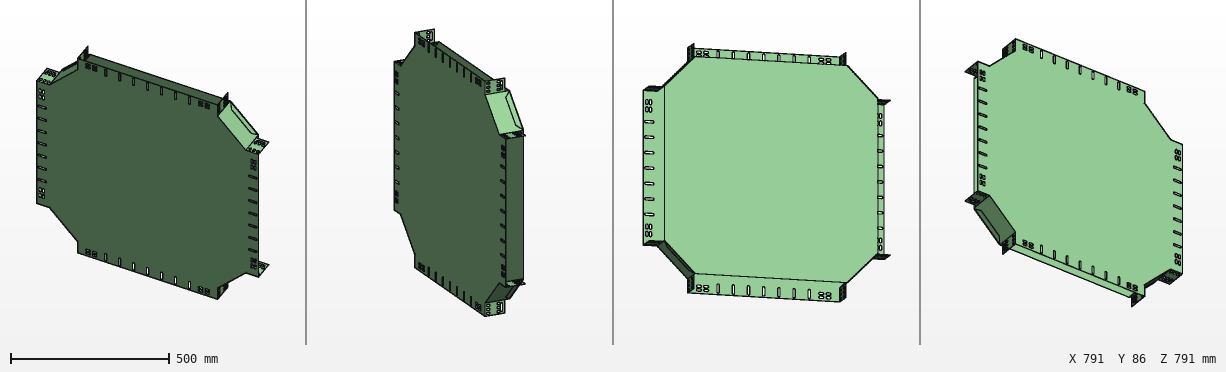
import cadquery as cq
import math


SPAN = 791.0
HEIGHT = 86.0
SHEET = 0.95
ARM_HALF = 250.0
LID_HALF = 350.5
TAB_HEIGHT = 70.5

SKIRT_DEPTH = 20.5
SKIRT_END_GAP = 1.5

LONG_SLOT_PITCH = 50.0
LONG_SLOT_COUNT = 7
LONG_SLOT_SIZE = (7.0, 30.0)
LONG_SLOT_INSET = 20.0
SHORT_SLOT_POSITIONS = (189.0, 213.0)
SHORT_SLOT_SIZE = (16.0, 7.0)
SHORT_SLOT_INSETS = (12.0, 24.0)

TAB_HOLE_INSET = 22.0
TAB_HOLE_PITCH = 13.5
TAB_HOLE_SIZE = (11.0, 7.0)
TAB_HOLE_LEVELS = (12.0, 48.0)
TAB_SLOT_SIZE = (7.0, 28.5)
TAB_SLOT_LEVEL = 58.5

END_HALF = SPAN / 2
WALL_HEIGHT = HEIGHT - SHEET
SLOT_CUT_DEPTH = 4 * SHEET
DIAGONAL_STEP = SHEET * math.sqrt(2)
BEND_STEP = DIAGONAL_STEP - SHEET
WALL_DISTANCE = (ARM_HALF + LID_HALF) / math.sqrt(2)
WALL_LENGTH = (LID_HALF - ARM_HALF) * math.sqrt(2)


def plate(points, thickness, start=0.0):
    """Sheet with an outline of (x, z) points, extruded toward +Y from Y = start."""
    plane = cq.Workplane("XZ", origin=(0, start, 0))
    return plane.polyline(points).close().extrude(-thickness)


def four_turns(shape):
    """The shape repeated at every quarter turn about the Y axis."""
    return [shape.rotate((0, 0, 0), (0, 1, 0), 90 * turn) for turn in range(4)]


def mirrored_ring(quadrant):
    """Closed outline from the points of the +X +Z quadrant, listed from the +Z side to the +X side."""
    right = quadrant + [(x, -z) for x, z in reversed(quadrant)]
    return right + [(-x, z) for x, z in reversed(right)]


def round_ended(plane, width, length, depth):
    """Round-ended slot cutter on the origin, width by length in the plane, cut to both sides."""
    angle = 0 if width > length else 90
    sketch = cq.Workplane(plane).slot2D(max(width, length), min(width, length), angle)
    return sketch.extrude(depth / 2, both=True)


def base():
    """Flat cross-shaped sheet with cut-off inner corners."""
    return plate(
        mirrored_ring([
            (ARM_HALF, END_HALF),
            (ARM_HALF, LID_HALF),
            (LID_HALF, ARM_HALF),
            (END_HALF, ARM_HALF),
        ]),
        SHEET,
    )


def corner_wall():
    """Diagonal wall of the +X +Z corner with a joint tab bent from each end."""
    arm_inner = ARM_HALF - SHEET
    bend_inner = LID_HALF - BEND_STEP
    bend_outer = (ARM_HALF, LID_HALF)
    wall = plate(
        [bend_outer, bend_outer[::-1], (bend_inner, arm_inner), (arm_inner, bend_inner)],
        WALL_HEIGHT,
    )
    tab_outline = [(ARM_HALF, END_HALF), bend_outer, (arm_inner, bend_inner), (arm_inner, END_HALF)]
    upper_tab = plate(tab_outline, TAB_HEIGHT)
    side_tab = plate([(z, x) for x, z in tab_outline], TAB_HEIGHT)
    return wall.union(upper_tab).union(side_tab)


def base_slots():
    """Cutters for the slots along the +Z arm end."""
    middle = (LONG_SLOT_COUNT - 1) / 2
    slots = [
        ((index - middle) * LONG_SLOT_PITCH, LONG_SLOT_INSET, LONG_SLOT_SIZE)
        for index in range(LONG_SLOT_COUNT)
    ]
    for distance in SHORT_SLOT_POSITIONS:
        for inset in SHORT_SLOT_INSETS:
            slots.append((distance, inset, SHORT_SLOT_SIZE))
            slots.append((-distance, inset, SHORT_SLOT_SIZE))
    return [
        round_ended("XZ", width, length, SLOT_CUT_DEPTH).translate((x, 0, END_HALF - inset))
        for x, inset, (width, length) in slots
    ]


def tab_holes():
    """Cutters that run along X through both tabs of the +Z arm."""
    middle_z = END_HALF - TAB_HOLE_INSET
    holes = [(TAB_SLOT_LEVEL, middle_z, TAB_SLOT_SIZE)]
    for level in TAB_HOLE_LEVELS:
        for step in (-1, 0, 1):
            holes.append((level, middle_z + step * TAB_HOLE_PITCH, TAB_HOLE_SIZE))
    return [
        round_ended("YZ", height, length, SPAN).translate((0, level, z))
        for level, z, (height, length) in holes
    ]


def make_tray():
    """Base and corner walls as one solid, with all slots and holes cut through."""
    tray = base()
    for wall in four_turns(corner_wall()):
        tray = tray.union(wall)
    cutters = [turned.val() for cutter in base_slots() + tab_holes() for turned in four_turns(cutter)]
    return tray.cut(cq.Workplane(cq.Compound.makeCompound(cutters)))


def skirt():
    """Trapezoidal flap of the lid that covers the top of the +X +Z corner wall."""
    plane = cq.Plane(
        origin=(WALL_DISTANCE / math.sqrt(2), HEIGHT, WALL_DISTANCE / math.sqrt(2)),
        xDir=(1, 0, -1),
        normal=(1, 0, 1),
    )
    top_half = WALL_LENGTH / 2 - SKIRT_END_GAP
    bottom_half = top_half - (SKIRT_DEPTH - SHEET)
    return (
        cq.Workplane(plane)
        .polyline([
            (-top_half, 0),
            (top_half, 0),
            (top_half, -SHEET),
            (bottom_half, -SKIRT_DEPTH),
            (-bottom_half, -SKIRT_DEPTH),
            (-top_half, -SHEET),
        ])
        .close()
        .extrude(SHEET)
    )


def make_lid():
    """Eight-sided sheet resting on the corner walls, with a skirt outside each wall."""
    corner = ARM_HALF + DIAGONAL_STEP
    lid = plate(mirrored_ring([(corner, LID_HALF), (LID_HALF, corner)]), SHEET, start=WALL_HEIGHT)
    for flap in four_turns(skirt()):
        lid = lid.union(flap)
    return lid


tray = make_tray()
lid = make_lid()

result = cq.Compound.makeCompound([tray.solids().val(), lid.solids().val()])